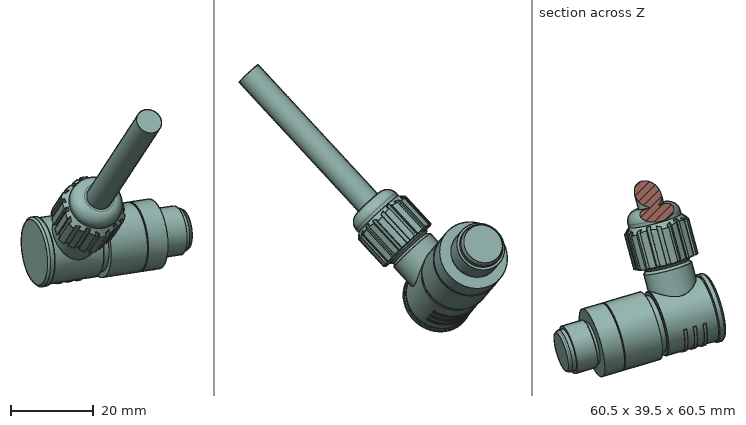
import cadquery as cq
import math

barrel_radius = 8.55
cap_radius = barrel_radius
cap_face_radius = 8.0
cap_y = -8.55
cap_chamfer_length = 0.55
cap_back_y = -6.65
cap_back_chamfer = 0.25
elbow_radius = 8.1
elbow_end_y = 6.4
elbow_chamfer = 0.25
neck_radius = 7.15
barrel_start_y = 8.0
barrel_end_y = 22.95
barrel_groove_y = 17.7
barrel_groove_width = 0.25
barrel_groove_depth = 0.1
thread_radius = 6.0
thread_start_y = 23.8
thread_end_y = 29.05
tip_radius = 5.3
tip_end_y = 30.95
tip_face_radius = 4.85
tip_bevel_middle_radius = 5.15
tip_bevel_middle_length = 0.5
tip_bevel_length = 0.9

rib_positions = (-3.3, -0.8, 1.7)
rib_width = 0.8
rib_radius = 8.35
rib_half_angle = 73

outlet_angle = 45
outlet_radius = 6.0
outlet_end = 12.2
v_groove_radius = 5.3
collar_radius = outlet_radius
collar_end = 13.45
nut_start = 13.85
nut_end = 24.1
nut_corner_radius = 8.1
shoulder_radius = 6.55
dome_end = 27.8
dome_round = 2.85
cable_radius = 3.15
overall_length = 60.55
cable_end = (overall_length - barrel_radius) / math.cos(math.radians(outlet_angle)) - cable_radius

nut_flat_distance = 7.55
nut_groove_floor = 6.85
nut_groove_width = 1.0
nut_groove_count = 18


def turned(half_outline):
    """Revolve an outline of (station, radius) points about the Z axis."""
    points = [(radius, station) for station, radius in half_outline]
    return cq.Workplane("XZ").polyline(points).close().revolve(360, (0, 0), (0, 1))


def cylinder(radius, start, end):
    return cq.Workplane("XY").workplane(offset=start).circle(radius).extrude(end - start)


def make_cap_and_elbow():
    return turned([
        (cap_y, 0),
        (cap_y, cap_face_radius),
        (cap_y + cap_chamfer_length, cap_radius),
        (cap_back_y - cap_back_chamfer, cap_radius),
        (cap_back_y, cap_radius - cap_back_chamfer),
        (cap_back_y, elbow_radius),
        (elbow_end_y - elbow_chamfer, elbow_radius),
        (elbow_end_y, elbow_radius - elbow_chamfer),
        (elbow_end_y, 0),
    ])


def make_barrel():
    groove_start = barrel_groove_y - barrel_groove_width / 2
    groove_end = groove_start + barrel_groove_width
    groove_floor = cylinder(barrel_radius - barrel_groove_depth, groove_start, groove_end)
    groove_ring = cylinder(barrel_radius, groove_start, groove_end).cut(groove_floor)
    return cylinder(barrel_radius, barrel_start_y, barrel_end_y).cut(groove_ring)


def make_tip():
    return turned([
        (barrel_start_y, 0),
        (barrel_start_y, tip_radius),
        (tip_end_y - tip_bevel_length, tip_radius),
        (tip_end_y - tip_bevel_middle_length, tip_bevel_middle_radius),
        (tip_end_y, tip_face_radius),
        (tip_end_y, 0),
    ])


def make_plug():
    """Build the plug along Z, then lay it down along +Y."""
    plug = (
        make_cap_and_elbow()
        .union(cylinder(neck_radius, 0, barrel_start_y))
        .union(make_barrel())
        .union(make_tip())
        .union(cylinder(thread_radius, thread_start_y, thread_end_y))
    )
    return plug.rotate((0, 0, 0), (1, 0, 0), -90)


def make_grip_rib(y_position):
    """Sector that stands proud of the elbow; its inner part merges with the elbow."""
    middle = math.radians(outlet_angle + 180)
    spread = math.radians(rib_half_angle)

    def arc_point(angle):
        return rib_radius * math.cos(angle), rib_radius * math.sin(angle)

    return (
        cq.Workplane("XZ", origin=(0, y_position + rib_width / 2, 0))
        .moveTo(0, 0)
        .lineTo(*arc_point(middle - spread))
        .threePointArc(arc_point(middle), arc_point(middle + spread))
        .close()
        .extrude(rib_width)
    )


def hexagon(flat_distance):
    """Hexagonal bar over the nut's length, with two of its flats facing +Y and -Y."""
    corner_diameter = 2 * flat_distance / math.cos(math.pi / 6)
    return (
        cq.Workplane("XY")
        .workplane(offset=nut_start)
        .polygon(6, corner_diameter)
        .extrude(nut_end - nut_start)
    )


def make_nut():
    blank = cylinder(nut_corner_radius, nut_start, nut_end)
    envelope = blank.faces(">Z").edges().chamfer(nut_corner_radius - shoulder_radius)
    nut = hexagon(nut_flat_distance).intersect(envelope)
    core = hexagon(nut_groove_floor)
    pitch = 360 / nut_groove_count
    for index in range(nut_groove_count):
        cutter = (
            cq.Workplane("XY")
            .workplane(offset=nut_start)
            .center(nut_corner_radius / 2, 0)
            .rect(nut_corner_radius, nut_groove_width)
            .extrude(nut_end - nut_start)
            .rotate((0, 0, 0), (0, 0, 1), (index + 0.5) * pitch)
        )
        nut = nut.cut(cutter.cut(core))
    return nut


def make_outlet():
    """Build the outlet, nut and cable along Z, then tilt them toward +X."""
    v_groove_depth = outlet_radius - v_groove_radius
    collar_chamfer = nut_start - collar_end
    spout = turned([
        (0, 0),
        (0, outlet_radius),
        (outlet_end, outlet_radius),
        (outlet_end + v_groove_depth, v_groove_radius),
        (collar_end, collar_radius),
        (nut_start, collar_radius - collar_chamfer),
        (nut_start, 0),
    ])
    dome = cylinder(shoulder_radius, nut_start, dome_end).faces(">Z").edges().fillet(dome_round)
    cable = cylinder(cable_radius, nut_start, cable_end)
    outlet = spout.union(make_nut()).union(dome).union(cable)
    return outlet.rotate((0, 0, 0), (0, 1, 0), 90 - outlet_angle)


result = make_plug()
for rib_y in rib_positions:
    result = result.union(make_grip_rib(rib_y))
result = result.union(make_outlet())